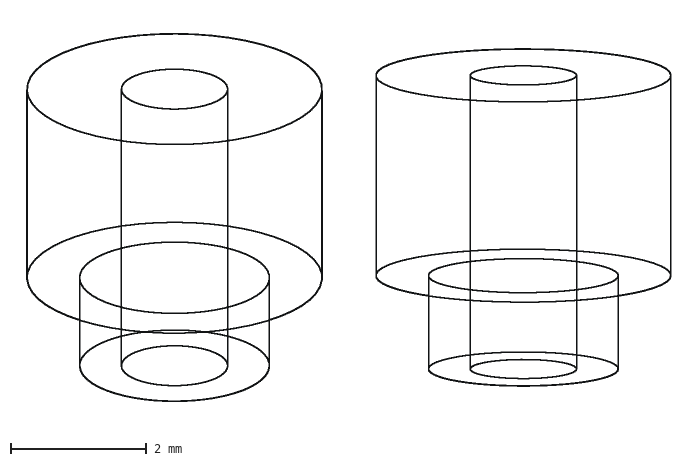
import cadquery as cq

total_height = 4.4
head_diameter = 4.35

spigot_diameter = 2.8
spigot_height = 1.4
bore_diameter = 1.565

head_height = total_height - spigot_height

spigot = cq.Workplane("XY").circle(spigot_diameter / 2).extrude(spigot_height)
head = (
    cq.Workplane("XY")
    .workplane(offset=spigot_height)
    .circle(head_diameter / 2)
    .extrude(head_height)
)
bore = cq.Workplane("XY").circle(bore_diameter / 2).extrude(total_height)

result = spigot.union(head).cut(bore)